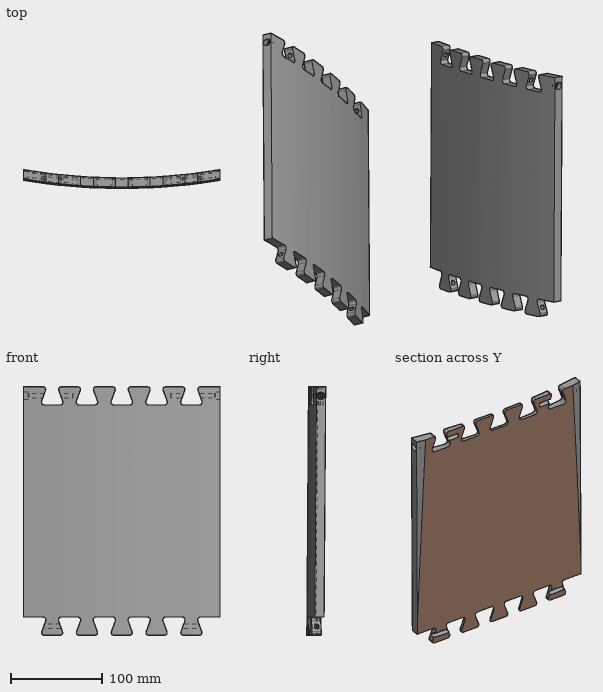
import cadquery as cq
import math

width = 216.0
height = 273.0
thickness = 10.0
outer_radius = 660.8
lean = 2.0

dovetail_count = 5
pitch = 38.2
dovetail_height = 20.0
dovetail_root = 26.0
dovetail_angle = 20.0
corner_radius = 3.0

hole_diameter = 5.0
head_diameter = 8.0
head_depth = 5.5
hole_length = 54.5
hole_slope = 8.0

half_width = width / 2
inner_radius = outer_radius - thickness
trim_margin = 5.5
cut_depth = 109.2


def arc_y(radius, x):
    """Y of an arc about the shared axis; the outer arc has its crest at Y = 0."""
    return outer_radius - math.sqrt(radius**2 - x**2)


def lean_at(z):
    """Y shift of the leaning panel at height z."""
    return lean * z / height


def make_panel():
    """Arched slab leaning back from its foot, oversized so the silhouette can trim it."""
    reach = half_width + trim_margin
    slab = (
        cq.Workplane("XY", origin=(0, 0, -trim_margin))
        .moveTo(-reach, arc_y(outer_radius, reach))
        .threePointArc((0, 0), (reach, arc_y(outer_radius, reach)))
        .lineTo(reach, arc_y(inner_radius, reach))
        .threePointArc((0, thickness), (-reach, arc_y(inner_radius, reach)))
        .close()
        .extrude(height + 2 * trim_margin)
    )
    lean_angle = math.degrees(math.atan(lean / height))
    return slab.rotate((0, 0, 0), (1, 0, 0), -lean_angle)


def dovetail_outline(base_z):
    """Points of all dovetails from left to right, wide end at base_z."""
    wide = dovetail_root / 2
    neck = wide - dovetail_height * math.tan(math.radians(dovetail_angle))
    neck_z = base_z + dovetail_height
    points = []
    for index in range(dovetail_count):
        center = (index - (dovetail_count - 1) / 2) * pitch
        points += [
            (center - neck, neck_z),
            (center - wide, base_z),
            (center + wide, base_z),
            (center + neck, neck_z),
        ]
    return points


def make_silhouette():
    """Front outline with dovetail tabs below, matching sockets above and rounded corners."""
    tabs = dovetail_outline(0)
    sockets = dovetail_outline(height - dovetail_height)
    outline = (
        [(-half_width, dovetail_height)]
        + tabs
        + [(half_width, dovetail_height), (half_width, height)]
        + sockets[::-1]
        + [(-half_width, height)]
    )
    block = cq.Workplane("XZ").polyline(outline).close().extrude(cut_depth / 2, both=True)
    joint_edges = cq.selectors.BoxSelector(
        (-half_width + trim_margin, -cut_depth, -trim_margin),
        (half_width - trim_margin, cut_depth, height + trim_margin),
    )
    return block.edges("|Y").edges(joint_edges).fillet(corner_radius)


def make_side_drill(z, head):
    """Left-hand screw drill at height z, optionally with a recess for the screw head."""
    entry_y = (arc_y(outer_radius, half_width) + arc_y(inner_radius, half_width)) / 2 + lean_at(z)
    slope = math.radians(hole_slope)
    entry = cq.Vector(-half_width, entry_y, z)
    direction = cq.Vector(math.cos(slope), -math.sin(slope), 0)
    start = entry - direction * trim_margin
    drill = cq.Solid.makeCylinder(hole_diameter / 2, hole_length + trim_margin, start, direction)
    if head:
        recess = cq.Solid.makeCylinder(head_diameter / 2, head_depth + trim_margin, start, direction)
        drill = drill.fuse(recess)
    return cq.Workplane(obj=drill)


result = make_panel().intersect(make_silhouette())

head_drill = make_side_drill(height - dovetail_height / 2, head=True)
foot_drill = make_side_drill(dovetail_height / 2, head=False)
for drill in (head_drill, foot_drill):
    result = result.cut(drill).cut(drill.mirror("YZ"))